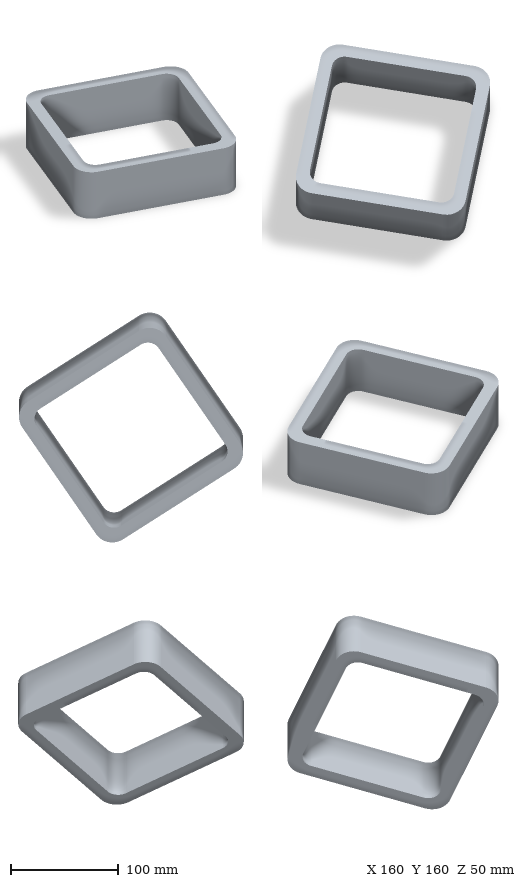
import cadquery as cq

outer_side = 160.0
height = 50.0
wall = 12.0
outer_corner_radius = 18.0
inner_corner_radius = 12.0

inner_side = outer_side - 2 * wall


def rounded_square_block(side, corner_radius):
    """Square block of the ring's height with its vertical edges rounded."""
    block = cq.Workplane("XY").rect(side, side).extrude(height)
    return block.edges("|Z").fillet(corner_radius)


outer_block = rounded_square_block(outer_side, outer_corner_radius)
opening = rounded_square_block(inner_side, inner_corner_radius)

result = outer_block.cut(opening)